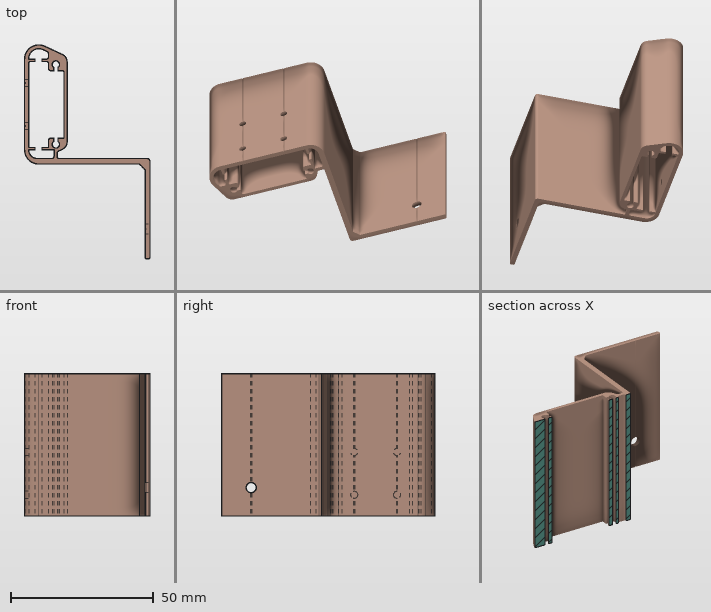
import cadquery as cq
import math

LENGTH = 50.0
WIDTH = 44.0
DEPTH = 75.0

BOX_WIDTH = 15.0
BOX_HEIGHT = 41.8
BOX_RADIUS = 5.0
LEFT_WALL = 1.5
ROOF_WALL = 1.4
RIGHT_WALL = 1.2
SLOPE = math.tan(math.radians(25.0))
SLOPE_RADIUS = 3.0
LOWER_SLOPE_END_Y = 5.95
RIB_LEFT = 10.35
RIB_RIGHT = 11.55
RIB_UPPER_RADIUS = 0.6
RIB_FOOT_RADIUS = 0.4
RIB_INNER_RADIUS = 0.8

WEB = 2.0
LEG = 1.75
LEG_BOTTOM_Y = BOX_HEIGHT - DEPTH
LEG_TIP_RADIUS = 0.5
BEND_RADIUS = 1.0
BEND_CHAMFER = 2.0

LIP_OUTER = BOX_RADIUS
LIP = 0.9
LIP_GAP = 2.4
LIP_GAP_X = 4.9
BOSS_LEFT = 8.4
BOSS_TOP = 9.1
BOSS_RADIUS = 0.8
SCREW_X = 11.0
SCREW_Y = 6.9
SCREW_DIAMETER = 2.5
SCREW_SLOT = 1.4
INNER_RADIUS = 0.5
UPPER_CHAMBER_RADIUS = 0.8

GROOVE_WIDTH = 0.5
GROOVE_DEPTH = 0.25
HOLE_PITCH = 15.0
BOX_HOLE_DIAMETER = 2.5
BOX_HOLE_BOTTOM_Z = 7.5
LEG_HOLE_DIAMETER = 3.5
LEG_HOLE_EDGE = 10.5
LEG_HOLE_Z = 10.0

SHORTEST_EDGE = 1e-6

MIDDLE_Y = BOX_HEIGHT / 2
LEG_INNER_X = WIDTH - LEG
LEG_HOLE_Y = LEG_BOTTOM_Y + LEG_HOLE_EDGE
BOX_HOLE_YS = (MIDDLE_Y - HOLE_PITCH / 2, MIDDLE_Y + HOLE_PITCH / 2)
BOX_HOLE_ZS = (BOX_HOLE_BOTTOM_Z, BOX_HOLE_BOTTOM_Z + HOLE_PITCH)


def mirrored(y):
    """Reflect a height about the middle of the box."""
    return BOX_HEIGHT - y


def prism(corners):
    """Extrude a closed outline of (x, y, radius) corners; radius 0 is sharp."""
    path = []
    for i, (x, y, radius) in enumerate(corners):
        corner = cq.Vector(x, y)
        before = (cq.Vector(*corners[i - 1][:2]) - corner).normalized()
        after = (cq.Vector(*corners[(i + 1) % len(corners)][:2]) - corner).normalized()
        if radius == 0:
            path.append((corner, corner, corner))
            continue
        half_angle = before.getAngle(after) / 2
        setback = radius / math.tan(half_angle)
        bulge = radius / math.sin(half_angle) - radius
        middle = corner + (before + after).normalized() * bulge
        path.append((corner + before * setback, middle, corner + after * setback))

    edges = []
    for i, (start, middle, end) in enumerate(path):
        previous_end = path[i - 1][2]
        if (start - previous_end).Length > SHORTEST_EDGE:
            edges.append(cq.Edge.makeLine(previous_end, start))
        if (end - start).Length > SHORTEST_EDGE:
            edges.append(cq.Edge.makeThreePointArc(start, middle, end))
    wire = cq.Wire.assembleEdges(edges)
    return cq.Workplane(cq.Solid.extrudeLinear(wire, [], cq.Vector(0, 0, LENGTH)))


def block(x_min, x_max, y_min, y_max):
    return prism([(x_min, y_min, 0), (x_max, y_min, 0), (x_max, y_max, 0), (x_min, y_max, 0)])


def roof_y(x, radius):
    """Height of the sloped line tangent to an arc about the upper left corner centre."""
    lean = radius * math.hypot(1, SLOPE)
    return mirrored(BOX_RADIUS) + lean - (x - BOX_RADIUS) * SLOPE


def outer_body():
    rib_top_y = LOWER_SLOPE_END_Y - (BOX_WIDTH - RIB_RIGHT) * SLOPE
    return prism([
        (0, 0, BOX_RADIUS),
        (LEG_INNER_X - BEND_CHAMFER, 0, 0),
        (LEG_INNER_X, -BEND_CHAMFER, 0),
        (LEG_INNER_X, LEG_BOTTOM_Y, LEG_TIP_RADIUS),
        (WIDTH, LEG_BOTTOM_Y, LEG_TIP_RADIUS),
        (WIDTH, WEB, BEND_RADIUS),
        (RIB_RIGHT, WEB, RIB_FOOT_RADIUS),
        (RIB_RIGHT, rib_top_y, RIB_UPPER_RADIUS),
        (BOX_WIDTH, LOWER_SLOPE_END_Y, SLOPE_RADIUS),
        (BOX_WIDTH, roof_y(BOX_WIDTH, BOX_RADIUS), SLOPE_RADIUS),
        (0, roof_y(0, BOX_RADIUS), BOX_RADIUS),
    ])


def main_chamber():
    lip_inner = LIP_OUTER + LIP
    right = BOX_WIDTH - RIGHT_WALL
    return prism([
        (LEFT_WALL, lip_inner, 0),
        (BOSS_LEFT, lip_inner, 0),
        (BOSS_LEFT, BOSS_TOP, BOSS_RADIUS),
        (right, BOSS_TOP, 0),
        (right, mirrored(BOSS_TOP), INNER_RADIUS),
        (BOSS_LEFT, mirrored(BOSS_TOP), BOSS_RADIUS),
        (BOSS_LEFT, mirrored(lip_inner), INNER_RADIUS),
        (LEFT_WALL, mirrored(lip_inner), INNER_RADIUS),
    ])


def lower_chamber():
    return prism([
        (LEFT_WALL, WEB, LIP_OUTER - WEB),
        (RIB_LEFT, WEB, RIB_INNER_RADIUS),
        (RIB_LEFT, LIP_OUTER, 0),
        (LEFT_WALL, LIP_OUTER, 0),
    ])


def upper_chamber():
    roof_radius = BOX_RADIUS - ROOF_WALL
    return prism([
        (LEFT_WALL, mirrored(LIP_OUTER), 0),
        (BOSS_LEFT, mirrored(LIP_OUTER), UPPER_CHAMBER_RADIUS),
        (BOSS_LEFT, roof_y(BOSS_LEFT, roof_radius), UPPER_CHAMBER_RADIUS),
        (LEFT_WALL, roof_y(LEFT_WALL, roof_radius), BOX_RADIUS - LEFT_WALL),
    ])


def lip_gaps():
    """One opening between each pair of lips, cut as a single band through the chambers."""
    return block(LIP_GAP_X - LIP_GAP / 2, LIP_GAP_X + LIP_GAP / 2, LIP_OUTER, mirrored(LIP_OUTER))


def screw_channels():
    """Round screw channels in both bosses, joined to the main chamber by a slot."""
    channels = block(SCREW_X - SCREW_SLOT / 2, SCREW_X + SCREW_SLOT / 2, SCREW_Y, mirrored(SCREW_Y))
    for y in (SCREW_Y, mirrored(SCREW_Y)):
        bore = cq.Workplane().center(SCREW_X, y).circle(SCREW_DIAMETER / 2).extrude(LENGTH)
        channels = channels.union(bore)
    return channels


def groove(face_x, y):
    """V groove along Z in a face looking toward -X."""
    return prism([
        (face_x, y - GROOVE_WIDTH / 2, 0),
        (face_x + GROOVE_DEPTH, y, 0),
        (face_x, y + GROOVE_WIDTH / 2, 0),
    ])


def cross_hole(face_x, y, z, diameter, depth):
    """Hole drilled along +X from a face looking toward -X."""
    return cq.Workplane("YZ", origin=(face_x, y, z)).circle(diameter / 2).extrude(depth)


result = outer_body()
for cavity in (main_chamber(), lower_chamber(), upper_chamber(), lip_gaps(), screw_channels()):
    result = result.cut(cavity)

for hole_y in BOX_HOLE_YS:
    result = result.cut(groove(0, hole_y))
    for hole_z in BOX_HOLE_ZS:
        result = result.cut(cross_hole(0, hole_y, hole_z, BOX_HOLE_DIAMETER, LEFT_WALL))

result = result.cut(groove(LEG_INNER_X, LEG_HOLE_Y))
result = result.cut(cross_hole(LEG_INNER_X, LEG_HOLE_Y, LEG_HOLE_Z, LEG_HOLE_DIAMETER, LEG))